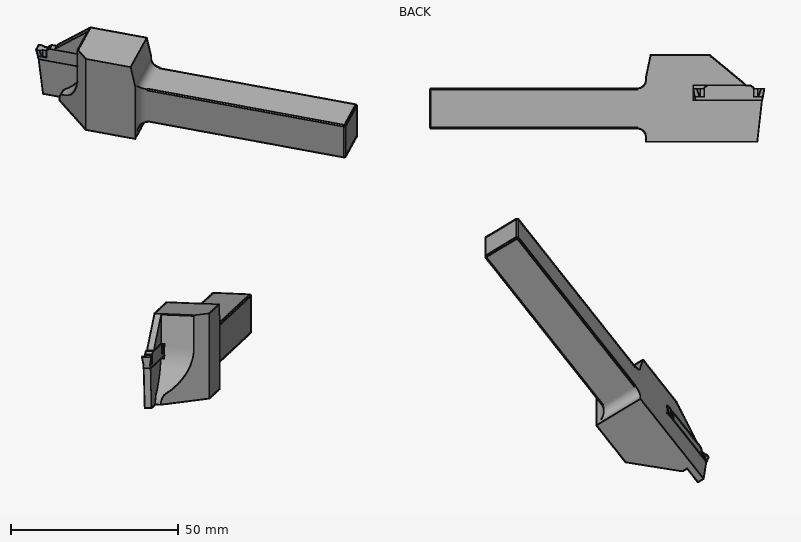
import cadquery as cq
import math

total_length = 100.0
head_width = 16.0
head_height = 26.0

blade_toe_x = 2.1
blade_seat_x = 0.7
nose_x = 5.7
nose_top_x = 6.1
nose_top_z = 17.5
head_top_start_x = 16.4
head_top_end_x = 34.0
head_back_x = 35.4
back_slope_z = 19.4
bevel_end_x = 20.0

blade_thickness = 2.1
relief_wall_x = 16.1
relief_arc_z = 15.9
relief_radius = 15.0
lip_top_z = 3.0
lip_middle = (8.0, 1.7)
lip_bottom = (7.8, 0.6)

shank_size = 12.0
shank_bottom_z = 4.0
shank_top_z = shank_bottom_z + shank_size
flare_radius = 2.6
shank_start_x = head_back_x + flare_radius
shank_chamfer = 0.4

insert_length = 21.2
insert_bottom_z = 12.4
insert_top_z = 16.9
pocket_depth = 3.1
insert_center_y = -1.0
body_width = 2.2
edge_z = 15.9
tip_base_x = 0.4
tip_base_z = 13.5
tip_length = 3.2
shoulder_z = 16.2
shoulder_x = 4.2
edge_width = 2.8
edge_land = 1.0
neck_width = 1.8
neck_x = 2.0
tip_base_width = 2.0


def extrude_side(outline, y_front, y_back):
    """Extrude a closed XZ outline between two Y positions."""
    return outline.extrude(y_back - y_front).translate((0, y_back, 0))


def make_head():
    outline = cq.Workplane("XZ").polyline([
        (blade_toe_x, 0),
        (head_back_x, 0),
        (head_back_x, back_slope_z),
        (head_top_end_x, head_height),
        (head_top_start_x, head_height),
        (nose_top_x, nose_top_z),
        (nose_x, insert_top_z),
        (nose_x, insert_bottom_z),
        (blade_seat_x, insert_bottom_z),
    ]).close()
    head = extrude_side(outline, -head_width, 0)
    bevel = (
        cq.Workplane("XY")
        .polyline([
            (bevel_end_x, -head_width),
            (bevel_end_x - head_width, 0),
            (bevel_end_x - head_width, -head_width),
        ])
        .close()
        .extrude(head_height)
    )
    blade_zone = cq.Workplane("XY").box(
        total_length, blade_thickness, head_height, centered=False
    ).translate((0, -blade_thickness, 0))
    return head.cut(bevel.cut(blade_zone)).cut(make_relief())


def make_relief():
    arc_center_x = relief_wall_x - relief_radius

    def arc_x(z):
        return arc_center_x + math.sqrt(relief_radius**2 - (relief_arc_z - z) ** 2)

    arc_middle_z = (relief_arc_z + lip_top_z) / 2
    outline = (
        cq.Workplane("XZ")
        .moveTo(0, head_height)
        .lineTo(relief_wall_x, head_height)
        .lineTo(relief_wall_x, relief_arc_z)
        .threePointArc((arc_x(arc_middle_z), arc_middle_z), (arc_x(lip_top_z), lip_top_z))
        .threePointArc(lip_middle, lip_bottom)
        .lineTo(lip_bottom[0], 0)
        .lineTo(0, 0)
        .close()
    )
    return extrude_side(outline, -head_width, -blade_thickness)


def make_flare():
    """Square transition with concave top, bottom and front faces."""
    arc_offset = flare_radius * (1 - math.sqrt(0.5))
    arc_x = head_back_x + arc_offset
    side = (
        cq.Workplane("XZ")
        .moveTo(head_back_x, shank_bottom_z - flare_radius)
        .threePointArc((arc_x, shank_bottom_z - arc_offset), (shank_start_x, shank_bottom_z))
        .lineTo(shank_start_x, shank_top_z)
        .threePointArc((arc_x, shank_top_z + arc_offset), (head_back_x, shank_top_z + flare_radius))
        .close()
    )
    plan = (
        cq.Workplane("XY")
        .moveTo(head_back_x, -shank_size - flare_radius)
        .threePointArc((arc_x, -shank_size - arc_offset), (shank_start_x, -shank_size))
        .lineTo(shank_start_x, 0)
        .lineTo(head_back_x, 0)
        .close()
        .extrude(head_height)
    )
    return extrude_side(side, -head_width, 0).intersect(plan)


def make_shank():
    return (
        cq.Workplane("XY")
        .box(total_length - shank_start_x, shank_size, shank_size, centered=False)
        .translate((shank_start_x, -shank_size, shank_bottom_z))
        .edges("|X or >X")
        .chamfer(shank_chamfer)
    )


def make_holder():
    pocket = (
        cq.Workplane("XY")
        .box(insert_length, pocket_depth, insert_top_z - insert_bottom_z, centered=False)
        .translate((0, -pocket_depth, insert_bottom_z))
    )
    return make_head().union(make_flare()).union(make_shank()).cut(pocket)


def make_insert_tip():
    """Cutting tip: tapered below its edge and narrowed to a neck behind it."""
    section = (
        cq.Workplane("YZ")
        .polyline([
            (insert_center_y - edge_width / 2, edge_z),
            (insert_center_y + edge_width / 2, edge_z),
            (insert_center_y + tip_base_width / 2, tip_base_z),
            (insert_center_y - tip_base_width / 2, tip_base_z),
        ])
        .close()
        .extrude(tip_length)
    )
    half_plan = [(0, edge_width / 2), (edge_land, edge_width / 2),
                 (neck_x, neck_width / 2), (tip_length, neck_width / 2)]
    other_half = [(x, -y) for x, y in reversed(half_plan)]
    plan = (
        cq.Workplane("XY")
        .polyline(half_plan + other_half)
        .close()
        .extrude(insert_top_z)
        .translate((0, insert_center_y, 0))
    )
    outline = cq.Workplane("XZ").polyline([
        (0, edge_z), (tip_length, edge_z), (tip_length, tip_base_z),
        (tip_base_x, tip_base_z),
    ]).close()
    side = extrude_side(outline, -head_width, head_width)
    return section.intersect(plan).intersect(side)


def make_insert():
    left_half = [
        (blade_seat_x, insert_bottom_z),
        (tip_base_x, tip_base_z),
        (tip_length, tip_base_z),
        (tip_length, shoulder_z),
        (shoulder_x, insert_top_z),
    ]
    right_half = [(insert_length - x, z) for x, z in reversed(left_half)]
    outline = cq.Workplane("XZ").polyline(left_half + right_half).close()
    y_front = insert_center_y - body_width / 2
    body = extrude_side(outline, y_front, y_front + body_width)
    front_tip = make_insert_tip()
    rear_tip = front_tip.mirror("YZ").translate((insert_length, 0, 0))
    return body.union(front_tip).union(rear_tip)


holder = make_holder()
insert = make_insert()

result = cq.Compound.makeCompound([*holder.solids().vals(), *insert.solids().vals()])